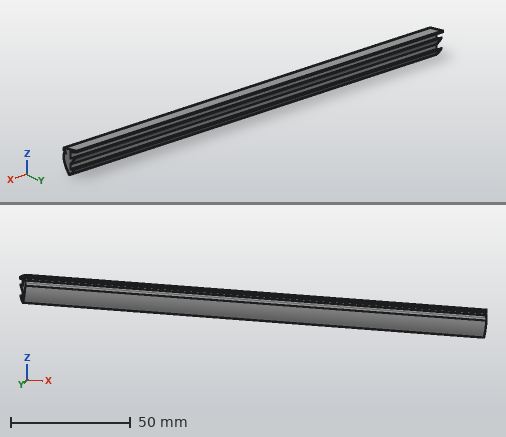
import cadquery as cq

length = 200.0
depth = 8.5
height = 12.5

web_back = 4.5
tip_depth = 3.8

flange_front_z = 11.2
lip_bevel_depth = 0.2
lip_bevel_z = 10.5
flange_edge = 0.5
flange_root_z = 11.2
flange_heel = (5.5, 10.8)

lip_bottom_z = 10.0
groove_floor = 1.0
groove_bottom_z = 8.8
groove_setback = 0.2

bulge_top_z = 7.5
bulge_bend_z = 6.5
bulge_middle = (1.2, 3.5)

barb_tip_y = 7.5
upper_barb_tip_z = 9.0
upper_barb_root_top_z = 7.5
upper_barb_root_bottom_z = 5.0
upper_barb_heel = (6.8, 7.8)
lower_barb_tip_z = 4.2
lower_barb_root_z = 2.8
lower_barb_neck = (6.2, 3.0)
lower_barb_heel = (5.8, 1.8)


def profile():
    """Closed cross-section with its front at Y = 0 and its lower tip at Z = 0."""
    return (
        cq.Workplane("YZ", origin=(-length / 2, -depth / 2, -height / 2))
        .moveTo(depth, height)
        .lineTo(lip_bevel_depth, flange_front_z)
        .lineTo(0, lip_bevel_z)
        .lineTo(0, lip_bottom_z)
        .lineTo(groove_floor, lip_bottom_z)
        .lineTo(groove_floor, groove_bottom_z)
        .lineTo(groove_setback, groove_bottom_z)
        .lineTo(0, bulge_top_z)
        .lineTo(0, bulge_bend_z)
        .threePointArc(bulge_middle, (tip_depth, 0))
        .lineTo(*lower_barb_heel)
        .lineTo(barb_tip_y, lower_barb_tip_z)
        .lineTo(*lower_barb_neck)
        .lineTo(web_back, lower_barb_root_z)
        .lineTo(web_back, upper_barb_root_bottom_z)
        .lineTo(*upper_barb_heel)
        .lineTo(barb_tip_y, upper_barb_tip_z)
        .lineTo(web_back, upper_barb_root_top_z)
        .lineTo(web_back, flange_root_z)
        .lineTo(*flange_heel)
        .lineTo(depth, height - flange_edge)
        .close()
    )


result = profile().extrude(length)